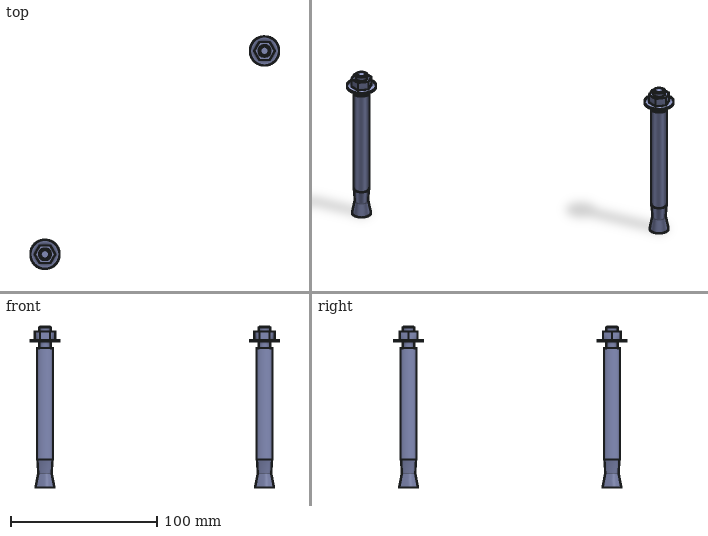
import cadquery as cq
import math

spacing_x = 150.0
spacing_y = 138.9
bolt_length = 110.0

foot_diameter = 13.1
waist_diameter = 9.4
collar_diameter = 10.5
waist_z = 9.7
sleeve_bottom_z = 19.4

sleeve_diameter = 11.0
sleeve_top_z = bolt_length - 14.8
stud_diameter = 8.0
tip_diameter = 6.0
tip_chamfer_height = 0.7

washer_diameter = 20.0
washer_thickness = 0.8
nut_across_flats = 12.2
nut_height = 6.0
stud_projection = 3.2
nut_top_z = bolt_length - stud_projection
washer_top_z = nut_top_z - nut_height


def make_shank():
    """Revolve the foot, waist, sleeve and stud about the Z axis."""
    return (
        cq.Workplane("XZ")
        .moveTo(0, 0)
        .lineTo(foot_diameter / 2, 0)
        .lineTo(waist_diameter / 2, waist_z)
        .lineTo(collar_diameter / 2, sleeve_bottom_z)
        .lineTo(sleeve_diameter / 2, sleeve_bottom_z)
        .lineTo(sleeve_diameter / 2, sleeve_top_z)
        .lineTo(stud_diameter / 2, sleeve_top_z)
        .lineTo(stud_diameter / 2, bolt_length - tip_chamfer_height)
        .lineTo(tip_diameter / 2, bolt_length)
        .lineTo(0, bolt_length)
        .close()
        .revolve(360, (0, 0, 0), (0, 1, 0))
    )


def make_washer():
    """Thin disc directly below the nut."""
    return (
        cq.Workplane("XY", origin=(0, 0, washer_top_z - washer_thickness))
        .circle(washer_diameter / 2)
        .extrude(washer_thickness)
    )


def make_nut():
    """Hexagonal prism with two corners on the X axis."""
    across_corners = nut_across_flats / math.cos(math.pi / 6)
    return (
        cq.Workplane("XY", origin=(0, 0, washer_top_z))
        .polygon(6, across_corners)
        .extrude(nut_height)
    )


def make_anchor_bolt():
    """One complete anchor bolt standing on the XY plane."""
    return make_shank().union(make_washer()).union(make_nut())


anchor_bolts = []
for side in (-1, 1):
    position = (side * spacing_x / 2, side * spacing_y / 2, 0)
    anchor_bolts.append(make_anchor_bolt().translate(position).val())

result = cq.Compound.makeCompound(anchor_bolts)